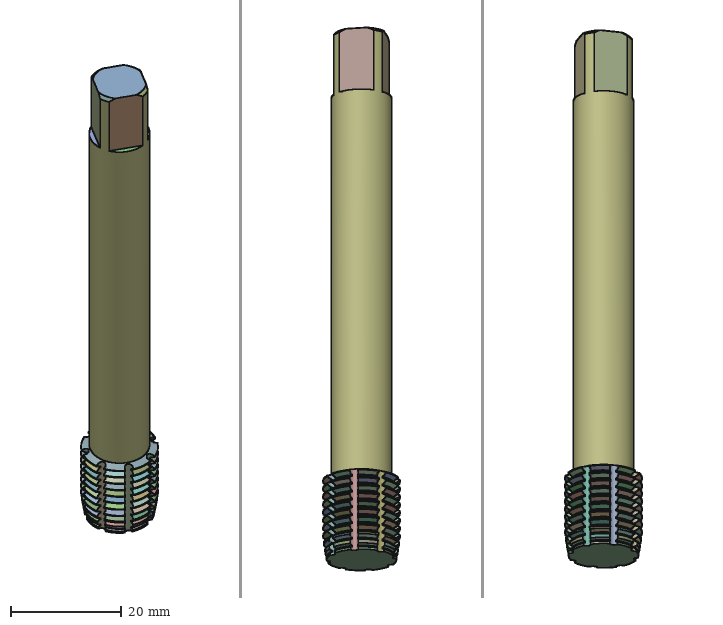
import cadquery as cq
import math

total_length = 100.0
head_length = 15.6
shank_radius = 5.5

square_width = 9.0
square_length = 12.0
end_chamfer = 0.6

thread_radius = 7.0
pitch = 1.5
sharp_height = pitch * math.sqrt(3) / 2
thread_depth = 3 / 4 * sharp_height
root_radius = thread_radius - thread_depth
root_flat = pitch / 8
flank_angle = math.radians(30)
first_groove_z = pitch / 2
groove_count = 10
groove_overshoot = 0.1

lead_radius = 12.7 / 2
lead_length = 4.0
shoulder_angle = math.radians(20)
shoulder_drop = (thread_radius - shank_radius) * math.tan(shoulder_angle)

flute_count = 8
flute_width = 1.5
flute_floor_radius = 5.8


def make_shank():
    """Plain round shank with a chamfered top end and four flats."""
    shank = (
        cq.Workplane("XY")
        .workplane(offset=head_length)
        .circle(shank_radius)
        .extrude(total_length - head_length)
        .faces(">Z")
        .chamfer(end_chamfer)
    )
    around_square = (
        cq.Workplane("XY")
        .workplane(offset=total_length - square_length)
        .circle(2 * shank_radius)
        .rect(square_width, square_width)
        .extrude(square_length)
    )
    return shank.cut(around_square)


def make_head_blank():
    """Turned blank: tapered lead at the bottom, conical shoulder up to the shank."""
    return (
        cq.Workplane("XZ")
        .moveTo(0, 0)
        .lineTo(lead_radius, 0)
        .lineTo(thread_radius, lead_length)
        .lineTo(thread_radius, head_length - shoulder_drop)
        .lineTo(shank_radius, head_length)
        .lineTo(0, head_length)
        .close()
        .revolve(360, (0, 0), (0, 1))
    )


def make_groove(z):
    """Ring-shaped cutter for the gap between two thread crests, centred at height z."""
    outer_radius = thread_radius + groove_overshoot
    root_half = root_flat / 2
    outer_half = root_half + (outer_radius - root_radius) * math.tan(flank_angle)
    return (
        cq.Workplane("XZ")
        .moveTo(root_radius, z - root_half)
        .lineTo(outer_radius, z - outer_half)
        .lineTo(outer_radius, z + outer_half)
        .lineTo(root_radius, z + root_half)
        .close()
        .revolve(360, (0, 0), (0, 1))
    )


def make_flute(angle):
    """Round-bottomed slot cutter running the full length of the head."""
    half_width = flute_width / 2
    arc_centre = flute_floor_radius + half_width
    open_end = thread_radius + flute_width
    return (
        cq.Workplane("XY")
        .moveTo(open_end, -half_width)
        .lineTo(arc_centre, -half_width)
        .threePointArc((flute_floor_radius, 0), (arc_centre, half_width))
        .lineTo(open_end, half_width)
        .close()
        .extrude(head_length)
        .rotate((0, 0, 0), (0, 0, 1), angle)
    )


def make_head():
    """Threaded head: blank with ring grooves and flutes cut away."""
    head = make_head_blank()
    for index in range(groove_count):
        head = head.cut(make_groove(first_groove_z + index * pitch))
    for index in range(flute_count):
        head = head.cut(make_flute(index * 360 / flute_count))
    return head


shank = make_shank()
head = make_head()
result = cq.Compound.makeCompound([shank.val(), head.val()])